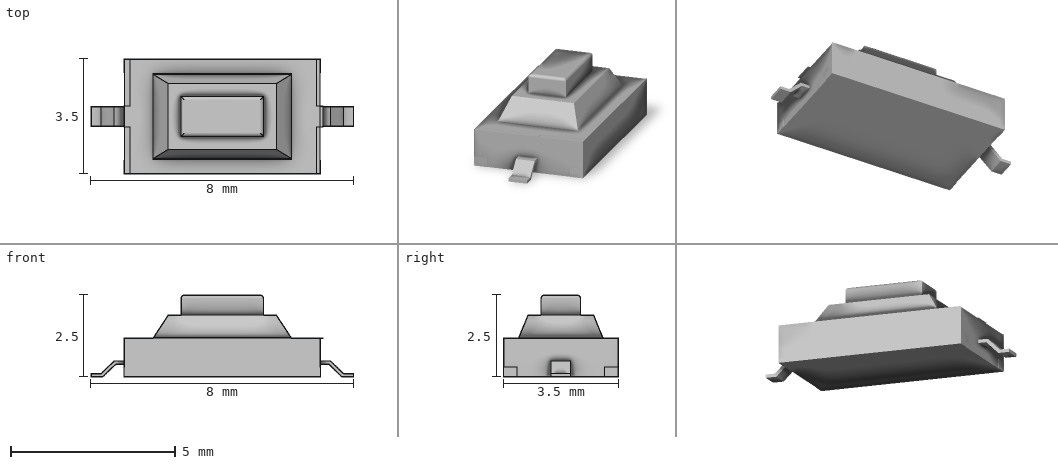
import cadquery as cq
lead_span = 8.0
cover_length = 6.0
cover_width = 3.5
cover_height = 1.18
total_height = 2.5

sheet = 0.02
cover_top_left = -2.81
cover_top_right = 2.86
tab_width = 0.64
tab_left_end = -cover_length / 2
tab_right_end = 3.06
corner_tab_width = 0.42
corner_tab_height = 0.3

collar_length = 4.22
collar_width = 2.61
collar_rim_length = 4.19
collar_rim_width = 2.56
collar_rim_height = 0.02
collar_top_length = 3.3
collar_top_width = 2.0
collar_top_z = 1.89

button_length = 2.51
button_width = 1.21
button_round = 0.1

lead_width = 0.6
lead_thickness = 0.1
lead_top_z = 0.49
foot_length = 0.3
slope_run = 0.4


def block(x_start, x_end, width, z_bottom, z_top):
    """Box between two X positions, centred on Y."""
    length = x_end - x_start
    return (
        cq.Workplane("XY", origin=((x_start + x_end) / 2, 0, z_bottom))
        .rect(length, width)
        .extrude(z_top - z_bottom)
    )


def frustum(bottom_size, top_size, z_bottom, z_top):
    """Rectangular pyramid frustum centred on the Z axis."""
    return (
        cq.Workplane("XY", origin=(0, 0, z_bottom))
        .rect(*bottom_size)
        .workplane(offset=z_top - z_bottom)
        .rect(*top_size)
        .loft(ruled=True)
    )


def make_base():
    half = cover_length / 2 - sheet
    return block(-half, half, cover_width - 2 * sheet, 0, cover_height - sheet)


def make_cover():
    """Thin sheet over the top and both long sides, with end tabs and corner tabs."""
    top_z = cover_height - sheet
    cover = block(cover_top_left, cover_top_right, cover_width, top_z, cover_height)
    cover = cover.union(block(tab_left_end, tab_right_end, tab_width, top_z, cover_height))
    for side in (-1, 1):
        wall_y = side * (cover_width - sheet) / 2
        wall = cq.Workplane("XY").center(0, wall_y).rect(cover_length, sheet).extrude(cover_height)
        cover = cover.union(wall)
        for end in (-1, 1):
            tab_x = end * (cover_length - sheet) / 2
            tab_y = side * (cover_width - corner_tab_width) / 2
            tab = cq.Workplane("XY").center(tab_x, tab_y).rect(sheet, corner_tab_width)
            cover = cover.union(tab.extrude(corner_tab_height))
    return cover


def make_collar():
    """Sloped collar standing on a narrow flared rim."""
    rim_z = cover_height + collar_rim_height
    rim_size = (collar_rim_length, collar_rim_width)
    rim = frustum((collar_length, collar_width), rim_size, cover_height, rim_z)
    slope = frustum(rim_size, (collar_top_length, collar_top_width), rim_z, collar_top_z)
    return rim.union(slope)


def make_button():
    half = button_length / 2
    button = block(-half, half, button_width, collar_top_z, total_height)
    return button.faces(">Z").edges().fillet(button_round)


def make_lead():
    """Lead at the +X end: flat out of the base, sloping down to a flat foot."""
    tip_x = lead_span / 2
    root_x = cover_length / 2 - sheet
    bottom_z = lead_top_z - lead_thickness
    foot_x = tip_x - foot_length
    bend_shift = 0.05
    outline = [
        (root_x, lead_top_z),
        (foot_x - slope_run, lead_top_z),
        (foot_x, lead_thickness),
        (tip_x, lead_thickness),
        (tip_x, 0),
        (foot_x - bend_shift, 0),
        (foot_x - slope_run - bend_shift, bottom_z),
        (root_x, bottom_z),
    ]
    lead = cq.Workplane("XZ").polyline(outline).close()
    return lead.extrude(lead_width / 2, both=True)


lead = make_lead()
result = make_base().union(make_cover()).union(make_collar()).union(make_button())
result = result.union(lead).union(lead.mirror("YZ"))